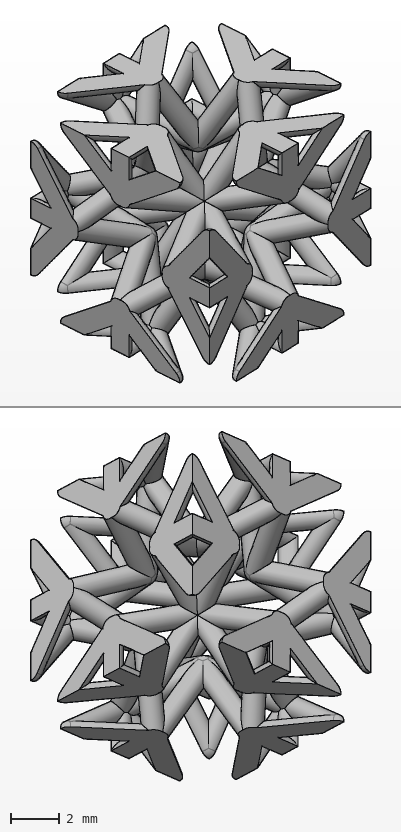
import cadquery as cq

cell = 10.0
strut_diameter = 1.0
hub_offset = 1.63
apex_offset = 2.88
tip_offset = 2.84

half = cell / 2
strut_radius = strut_diameter / 2


def strut(start, end):
    """Round bar between two nodes."""
    axis = cq.Vector(*end) - cq.Vector(*start)
    return cq.Solid.makeCylinder(strut_radius, axis.Length, cq.Vector(*start), axis)


def joint(node):
    """Ball that closes the gap between the struts meeting at a node."""
    return cq.Workplane("XY").sphere(strut_radius).val().translate(cq.Vector(*node))


def node_at(axes, values):
    """Node whose coordinates are given along the listed axes (0 = X, 1 = Y, 2 = Z)."""
    return tuple(values[axes.index(axis)] for axis in range(3))


def face_branch(normal, outward, hub):
    """Face node with its struts: one to the edge middle, one to the edge node, one to the hub."""
    (side,) = {0, 1, 2} - {normal, outward}
    axes = (normal, outward, side)
    apex = node_at(axes, (half, apex_offset, 0))
    edge_middle = node_at(axes, (half, half, 0))
    edge_tip = node_at(axes, (half, half, tip_offset))
    struts = [strut(apex, end) for end in (edge_middle, edge_tip, hub)]
    return struts + [joint(apex), joint(edge_tip)]


hub = (hub_offset, hub_offset, hub_offset)
members = [joint(hub)]
for normal in range(3):
    for outward in range(3):
        if outward != normal:
            members += face_branch(normal, outward, hub)

octant_box = cq.Workplane("XY").box(half, half, half, centered=False)
octant = cq.Workplane(obj=members[0].fuse(*members[1:])).intersect(octant_box)

result = octant
for mid_plane in ("YZ", "XZ", "XY"):
    result = result.union(result.mirror(mid_plane))
result = result.clean()